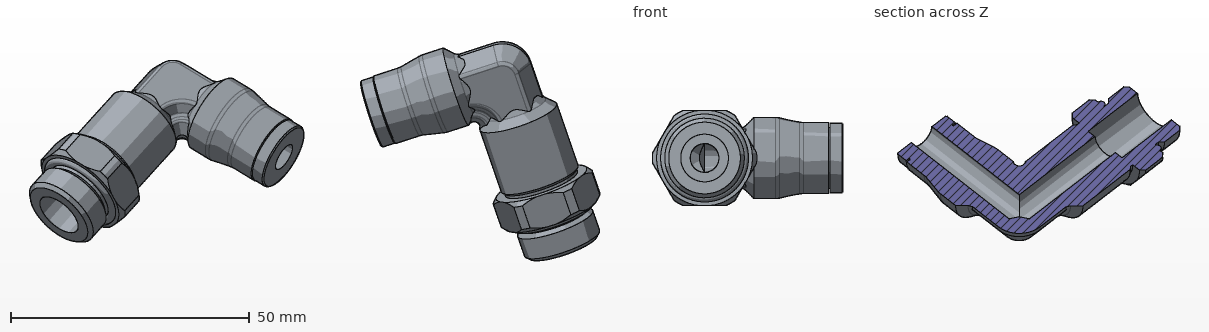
import cadquery as cq
import math


overall_length = 48.5
overall_width = 40.0
body_radius = 8.55
stem_length = overall_length - body_radius
hex_corner_radius = 10.95
branch_length = overall_width - hex_corner_radius

neck_start = 6.7
neck_start_radius = 5.9
neck_middle = (7.7, 6.25)
cone_start = 8.5
cone_start_radius = 6.7
cone_end = cone_start + body_radius - cone_start_radius

stem_body_end = 24.4
undercut_radius = 8.0
undercut_start = stem_body_end + body_radius - undercut_radius
hex_start = 25.55
hex_height = 6.9
hex_end = hex_start + hex_height
hex_across_flats = 20.0
hex_chamfer = 0.9
thread_radius = 8.35
thread_chamfer = 0.82
thread_groove_radius = 7.45
seal_cord_radius = 0.85
seal_center_radius = thread_groove_radius + seal_cord_radius
thread_groove_end = 33.75
thread_start = thread_groove_end + thread_radius - thread_groove_radius

taper_start = 15.3
taper_end = 20.3
taper_blend_radius = 4.1
sleeve_radius = 7.45
sleeve_end = 26.0
ring_gap = 0.25
ring_gap_radius = 6.4
ring_radius = 7.3
ring_start = sleeve_end + ring_gap
ring_chamfer = 0.3

elbow_half_height = 6.05
elbow_outer_reach = 6.2
elbow_edge_half_width = 0.95
elbow_edge_round = 0.95
flank_slope = math.tan(math.radians(60))
bend_center = 9.45
inner_ridge_radius = 5.95
web_half_height = 3.35
web_root_round = 0.82
web_ridge_radius = 2.85
web_ridge_round = 0.65
web_tip_radius = 1.2
elbow_reach = 10.2

bore_radius = 3.0
drill_tip = bore_radius * math.tan(math.radians(30))
socket_radius = 5.0
socket_depth = 14.55


def rounded_outline(plane, corners):
    """Closed outline through (u, v, round radius) corners; radius 0 stays sharp."""
    outline = None
    for i, (u, v, radius) in enumerate(corners):
        corner = cq.Vector(u, v)
        if radius == 0:
            outline = outline.lineTo(u, v) if outline else cq.Workplane(plane).moveTo(u, v)
            continue
        to_last = (cq.Vector(*corners[i - 1][:2]) - corner).normalized()
        to_next = (cq.Vector(*corners[(i + 1) % len(corners)][:2]) - corner).normalized()
        half_angle = to_last.getAngle(to_next) / 2
        setback = radius / math.tan(half_angle)
        apex_distance = radius / math.sin(half_angle) - radius
        start = corner + to_last * setback
        middle = corner + (to_last + to_next).normalized() * apex_distance
        end = corner + to_next * setback
        outline = outline.lineTo(start.x, start.y)
        outline = outline.threePointArc((middle.x, middle.y), (end.x, end.y))
    return outline.close()


def mirrored_corners(upper):
    """Corners of an outline symmetric about v = 0, given its upper half."""
    return upper + [(u, -v, radius) for u, v, radius in reversed(upper)]


def turned(outline):
    """Revolve an (axial distance, radius) outline about X."""
    return outline.revolve(360, (0, 0, 0), (1, 0, 0))


def to_stem(shape):
    """Turn a shape built along +X onto the stem axis along -Y."""
    return shape.rotate((0, 0, 0), (0, 0, 1), -90)


def neck():
    return turned(
        cq.Workplane("XY")
        .moveTo(neck_start, 0)
        .lineTo(neck_start, neck_start_radius)
        .threePointArc(neck_middle, (cone_start, cone_start_radius))
        .lineTo(cone_end, body_radius)
        .lineTo(cone_end, 0)
        .close()
    )


def hexagon():
    across_corners = hex_across_flats / math.cos(math.radians(30))
    prism = cq.Workplane("YZ").workplane(offset=hex_start).polygon(6, across_corners).extrude(hex_height)
    blank = (
        cq.Workplane("YZ").workplane(offset=hex_start)
        .circle(hex_corner_radius).extrude(hex_height)
        .edges().chamfer(hex_chamfer)
    )
    return prism.intersect(blank)


def seal_ring():
    """Half-round sealing bead on the thread side of the hexagon."""
    return turned(
        cq.Workplane("XY")
        .moveTo(hex_end, thread_groove_radius)
        .threePointArc(
            (hex_end + seal_cord_radius, seal_center_radius),
            (hex_end, seal_center_radius + seal_cord_radius),
        )
        .close()
    )


def stem():
    shank = turned(rounded_outline("XY", [
        (cone_end, 0, 0),
        (cone_end, body_radius, 0),
        (stem_body_end, body_radius, 0),
        (undercut_start, undercut_radius, 0),
        (hex_end, undercut_radius, 0),
        (hex_end, thread_groove_radius, 0),
        (thread_groove_end, thread_groove_radius, 0),
        (thread_start, thread_radius, 0),
        (stem_length - thread_chamfer, thread_radius, 0),
        (stem_length, thread_radius - thread_chamfer, 0),
        (stem_length, 0, 0),
    ]))
    return to_stem(neck().union(shank).union(hexagon()).union(seal_ring()))


def branch():
    sleeve = turned(rounded_outline("XY", [
        (cone_end, 0, 0),
        (cone_end, body_radius, 0),
        (taper_start, body_radius, taper_blend_radius),
        (taper_end, sleeve_radius, taper_blend_radius),
        (sleeve_end, sleeve_radius, 0),
        (sleeve_end, ring_gap_radius, 0),
        (ring_start, ring_gap_radius, 0),
        (ring_start, ring_radius, 0),
        (branch_length - ring_chamfer, ring_radius, 0),
        (branch_length, ring_radius - ring_chamfer, 0),
        (branch_length, 0, 0),
    ]))
    return neck().union(sleeve)


def bent_section(upper_corners, center, arm_length):
    """Turn an XZ section about a vertical axis at (center, -center), with straight arms beside it.

    The section reaches back from the axis, so its u values are negative bend radii.
    """
    corners = mirrored_corners(upper_corners)
    swing = rounded_outline("XZ", corners).revolve(360, (0, 0, 0), (0, 1, 0))
    stem_arm = rounded_outline("XZ", corners).extrude(arm_length)
    branch_arm = rounded_outline("XZ", corners).extrude(-arm_length).rotate((0, 0, 0), (0, 0, 1), -90)
    return swing.union(stem_arm).union(branch_arm).translate((center, -center, 0))


def elbow_outside():
    """Outer half of both arms, joined by a turn about the crossing of the axes."""
    flank_width = (elbow_half_height - elbow_edge_half_width) / flank_slope
    return bent_section([
        (0, elbow_half_height, 0),
        (flank_width - elbow_outer_reach, elbow_half_height, elbow_edge_round),
        (-elbow_outer_reach, elbow_edge_half_width, 0),
    ], 0, elbow_reach)


def elbow_inside():
    """Inner corner between the arms: a hollow bend that steps down to a thinner web."""
    web_root_radius = inner_ridge_radius - (elbow_half_height - web_half_height) / flank_slope
    web_tip_half_height = web_half_height - (web_ridge_radius - web_tip_radius) * flank_slope
    bend = bent_section([
        (-math.sqrt(2) * bend_center, elbow_half_height, 0),
        (-inner_ridge_radius, elbow_half_height, elbow_edge_round),
        (-web_root_radius, web_half_height, web_root_round),
        (-web_ridge_radius, web_half_height, web_ridge_round),
        (-web_tip_radius, web_tip_half_height, 0),
    ], bend_center, elbow_reach - bend_center)
    corner_block = (
        cq.Workplane("XY")
        .box(elbow_reach, elbow_reach, 2 * elbow_half_height, centered=(False, False, True))
        .translate((0, -elbow_reach, 0))
    )
    return bend.intersect(corner_block)


def drilled_bore(length):
    """Bore along +X whose drill point passes the crossing of the axes."""
    return turned(rounded_outline("XY", [
        (-drill_tip, 0, 0),
        (0, bore_radius, 0),
        (length, bore_radius, 0),
        (length, 0, 0),
    ]))


def stem_socket():
    return (
        cq.Workplane("YZ").workplane(offset=stem_length - socket_depth)
        .circle(socket_radius).extrude(socket_depth)
    )


elbow = elbow_outside().union(elbow_inside())
solid_body = elbow.union(stem()).union(branch())
bores = to_stem(drilled_bore(stem_length).union(stem_socket())).union(drilled_bore(branch_length))
result = solid_body.cut(bores)